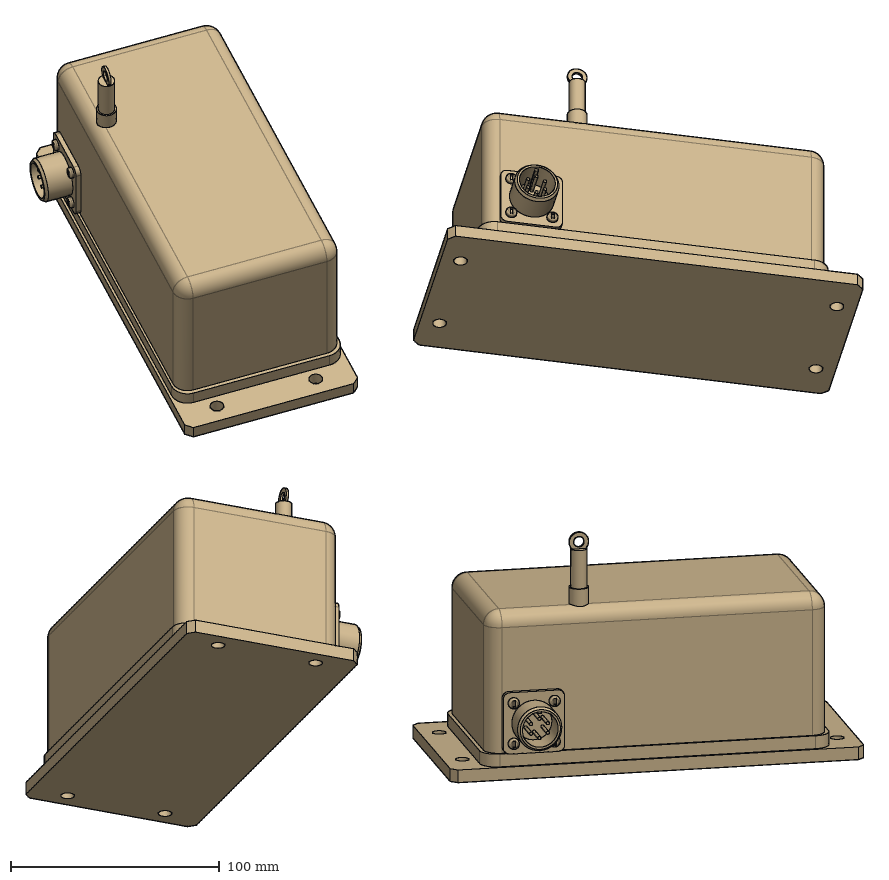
import cadquery as cq

PLATE_LENGTH = 203.2
PLATE_WIDTH = 88.9
PLATE_THICKNESS = 6.35
PLATE_CORNER_CHAMFER = 3.2
MOUNT_HOLE_DIAMETER = 6.53
MOUNT_HOLE_PITCH_X = 184.15
MOUNT_HOLE_PITCH_Y = 50.8

COVER_LENGTH = 167.4
COVER_WIDTH = 83.8
COVER_TOP_Z = 82.55
COVER_RADIUS = 7.5
FLANGE_LIP_X = 2.0
FLANGE_LIP_Y = 1.2
FLANGE_HEIGHT = 6.35
FLANGE_RADIUS = 8.1
FLANGE_TOP_Z = PLATE_THICKNESS + FLANGE_HEIGHT
COVER_FRONT_Y = -COVER_WIDTH / 2

BASE_WIDTH = 30.2
BASE_HEIGHT = 30.5
BASE_THICKNESS = 2.5
BASE_RADIUS = 3.2
CONNECTOR_X = -COVER_LENGTH / 2 + COVER_RADIUS + BASE_WIDTH / 2
CONNECTOR_Z = FLANGE_TOP_Z + BASE_HEIGHT / 2
BASE_FACE_Y = COVER_FRONT_Y - BASE_THICKNESS
SHELL_DIAMETER = 21.74
SHELL_BORE = 17.53
SHELL_OVERHANG = 13.97
SHELL_LENGTH = BASE_FACE_Y + PLATE_WIDTH / 2 + SHELL_OVERHANG
SHELL_CHAMFER_LENGTH = 1.5
SHELL_CHAMFER_DEPTH = 1.0
PIN_COUNT = 6
PIN_DIAMETER = 1.57
PIN_CIRCLE_DIAMETER = 9.53
PIN_LENGTH = 12.0
KEY_WIDTH = 1.6
KEY_DEPTH = 1.3

SCREW_PITCH = 20.1
SCREW_DIAMETER = 5.38
SCREW_HEIGHT = 2.0
SCREW_EDGE_RADIUS = 1.1
SLOT_LENGTH = 3.1
SLOT_WIDTH = 1.2
SLOT_DEPTH = 1.2

POST_X = -36.45
POST_Y = -32.45
COLLAR_DIAMETER = 9.53
COLLAR_TOP_Z = 90.6
POST_DIAMETER = 7.92
POST_TOP_Z = 109.6
EYE_DIAMETER = COLLAR_DIAMETER
EYE_HOLE_DIAMETER = 5.08
EYE_THICKNESS = 1.2
EYE_TOP_Z = 117.77


def make_plate():
    plate = (
        cq.Workplane("XY")
        .rect(PLATE_LENGTH, PLATE_WIDTH)
        .extrude(PLATE_THICKNESS)
        .edges("|Z")
        .chamfer(PLATE_CORNER_CHAMFER)
    )
    holes = (
        cq.Workplane("XY")
        .rect(MOUNT_HOLE_PITCH_X, MOUNT_HOLE_PITCH_Y, forConstruction=True)
        .vertices()
        .circle(MOUNT_HOLE_DIAMETER / 2)
        .extrude(PLATE_THICKNESS)
    )
    return plate.cut(holes)


def make_cover():
    flange = (
        cq.Workplane("XY", origin=(0, 0, PLATE_THICKNESS))
        .rect(COVER_LENGTH + 2 * FLANGE_LIP_X, COVER_WIDTH + 2 * FLANGE_LIP_Y)
        .extrude(FLANGE_HEIGHT)
        .edges("|Z")
        .fillet(FLANGE_RADIUS)
    )
    cover = (
        cq.Workplane("XY", origin=(0, 0, FLANGE_TOP_Z))
        .rect(COVER_LENGTH, COVER_WIDTH)
        .extrude(COVER_TOP_Z - FLANGE_TOP_Z)
        .edges("|Z or >Z")
        .fillet(COVER_RADIUS)
    )
    return flange.union(cover)


def connector_plane(y):
    """Sketch plane on the connector axis, local x along X, local y along Z, extruding to -Y."""
    return cq.Workplane("XZ", origin=(CONNECTOR_X, y, CONNECTOR_Z))


def make_shell():
    shell = (
        connector_plane(BASE_FACE_Y)
        .circle(SHELL_DIAMETER / 2)
        .extrude(SHELL_LENGTH)
        .faces("<Y")
        .chamfer(SHELL_CHAMFER_LENGTH, SHELL_CHAMFER_DEPTH)
    )
    bore = connector_plane(BASE_FACE_Y).circle(SHELL_BORE / 2).extrude(SHELL_LENGTH)
    key_bottom = SHELL_BORE / 2 - KEY_DEPTH
    key_top = (SHELL_BORE + SHELL_DIAMETER) / 4
    key = (
        connector_plane(BASE_FACE_Y)
        .center(0, (key_bottom + key_top) / 2)
        .rect(KEY_WIDTH, key_top - key_bottom)
        .extrude(SHELL_LENGTH - SHELL_CHAMFER_LENGTH)
    )
    pins = (
        connector_plane(BASE_FACE_Y)
        .polarArray(PIN_CIRCLE_DIAMETER / 2, 90, 360, PIN_COUNT)
        .circle(PIN_DIAMETER / 2)
        .extrude(PIN_LENGTH)
    )
    return shell.cut(bore).union(key).union(pins)


def make_screw(x_offset, z_offset):
    head = (
        connector_plane(BASE_FACE_Y)
        .center(x_offset, z_offset)
        .circle(SCREW_DIAMETER / 2)
        .extrude(SCREW_HEIGHT)
        .faces("<Y")
        .edges()
        .fillet(SCREW_EDGE_RADIUS)
    )
    slot = (
        connector_plane(BASE_FACE_Y - SCREW_HEIGHT + SLOT_DEPTH)
        .center(x_offset, z_offset)
        .rect(SLOT_WIDTH, SLOT_LENGTH)
        .extrude(SLOT_DEPTH)
    )
    return head.cut(slot)


def make_connector():
    base = (
        connector_plane(COVER_FRONT_Y)
        .rect(BASE_WIDTH, BASE_HEIGHT)
        .extrude(BASE_THICKNESS)
        .edges("|Y")
        .fillet(BASE_RADIUS)
    )
    connector = base.union(make_shell())
    for side_x in (-1, 1):
        for side_z in (-1, 1):
            connector = connector.union(make_screw(side_x * SCREW_PITCH / 2, side_z * SCREW_PITCH / 2))
    return connector


def make_post():
    collar_bottom_z = COVER_TOP_Z - COVER_RADIUS
    collar = (
        cq.Workplane("XY", origin=(POST_X, POST_Y, collar_bottom_z))
        .circle(COLLAR_DIAMETER / 2)
        .extrude(COLLAR_TOP_Z - collar_bottom_z)
    )
    post = (
        cq.Workplane("XY", origin=(POST_X, POST_Y, COLLAR_TOP_Z))
        .circle(POST_DIAMETER / 2)
        .extrude(POST_TOP_Z - COLLAR_TOP_Z)
    )
    eye_radius = EYE_DIAMETER / 2
    eye_plane = cq.Workplane("XZ", origin=(POST_X, POST_Y, EYE_TOP_Z - eye_radius))
    eye = eye_plane.circle(eye_radius).extrude(EYE_THICKNESS / 2, both=True)
    eye_hole = eye_plane.circle(EYE_HOLE_DIAMETER / 2).extrude(EYE_THICKNESS / 2, both=True)
    below_post_end = (
        cq.Workplane("XY", origin=(POST_X, POST_Y, POST_TOP_Z))
        .rect(EYE_DIAMETER, EYE_DIAMETER)
        .extrude(-EYE_DIAMETER)
    )
    return collar.union(post).union(eye.cut(below_post_end)).cut(eye_hole)


result = make_plate().union(make_cover()).union(make_connector()).union(make_post())